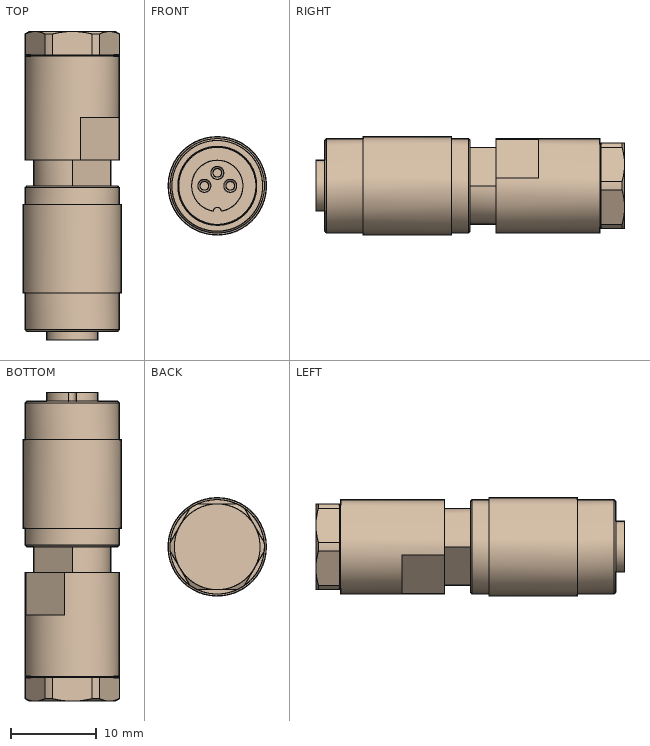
import cadquery as cq

SHELL_FRONT = 1.0
SLEEVE_FRONT = 5.5
SLEEVE_REAR = 15.85
SHELL_REAR = 18.0
BODY_FRONT = 21.0
BODY_FLAT_REAR = 25.95
BODY_REAR = 33.12
HEX_FRONT = 33.25
TOTAL_LENGTH = 36.0

SLEEVE_RADIUS = 11.5 / 2
BODY_RADIUS = 5.5
NECK_RADIUS = 4.5
INSERT_RADIUS = 3.0
BORE_RADIUS = 4.5
GROOVE_RADIUS = 4.82

BODY_FLAT_DISTANCE = 4.5
NECK_FLAT_DISTANCE = NECK_RADIUS / 2**0.5
FLAT_ANGLE = 45.0
HEX_ACROSS_FLATS = 10.0
HEX_TURN = 30.0

SHELL_CHAMFER = 0.2
BORE_CHAMFER = 0.1
HEX_CHAMFER_LENGTH = 0.3
HEX_CHAMFER_WIDTH = 0.5

BORE_DEPTH = 7.2
CONTACT_OFFSET = 1.5
CONTACT_RADIUS = 0.5
CONTACT_MOUTH_RADIUS = 0.75
CONTACT_DEPTH = 4.32
KEYWAY_RADIUS = 0.45


def section_plane(y):
    """Plane across the axis: local x is -X, local y is Z, normal is +Y."""
    return cq.Workplane(cq.Plane(origin=(0, y, 0), xDir=(-1, 0, 0), normal=(0, 1, 0)))


def cylinder(radius, front, rear):
    return section_plane(front).circle(radius).extrude(rear - front)


def flatted_cylinder(radius, flat_distance, front, rear):
    """Cylinder with two parallel flats facing +X+Z and -X-Z."""
    length = rear - front
    slab = (
        section_plane(front)
        .transformed(rotate=(0, 0, FLAT_ANGLE))
        .rect(2 * radius, 2 * flat_distance)
        .extrude(length)
    )
    return cylinder(radius, front, rear).intersect(slab)


def make_shell():
    shell = cylinder(BODY_RADIUS, SHELL_FRONT, SHELL_REAR).edges().chamfer(SHELL_CHAMFER)
    shell = shell.union(cylinder(SLEEVE_RADIUS, SLEEVE_FRONT, SLEEVE_REAR))
    shell = shell.cut(cylinder(BORE_RADIUS, SHELL_FRONT, SHELL_FRONT + BORE_DEPTH))
    bore_mouth = (
        section_plane(SHELL_FRONT)
        .circle(BORE_RADIUS + BORE_CHAMFER)
        .extrude(BORE_CHAMFER, taper=45)
    )
    return shell.cut(bore_mouth)


def make_insert():
    insert = cylinder(INSERT_RADIUS, 0, SHELL_FRONT + BORE_DEPTH)
    keyway = (
        section_plane(0)
        .center(0, -INSERT_RADIUS)
        .circle(KEYWAY_RADIUS)
        .extrude(SHELL_FRONT + BORE_DEPTH)
    )
    insert = insert.cut(keyway)
    contacts = [(-CONTACT_OFFSET, 0), (0, CONTACT_OFFSET), (CONTACT_OFFSET, 0)]
    for x, z in contacts:
        hole = section_plane(0).center(x, z).circle(CONTACT_RADIUS).extrude(CONTACT_DEPTH)
        mouth_depth = CONTACT_MOUTH_RADIUS - CONTACT_RADIUS
        mouth = (
            section_plane(0)
            .center(x, z)
            .circle(CONTACT_MOUTH_RADIUS)
            .extrude(mouth_depth, taper=45)
        )
        insert = insert.cut(hole).cut(mouth)
    return insert


def make_hex_cap():
    """Hexagon with flats facing +Z and -Z, its corners turned to the body radius."""
    blank = (
        cylinder(BODY_RADIUS, HEX_FRONT, TOTAL_LENGTH)
        .faces(">Y")
        .chamfer(HEX_CHAMFER_LENGTH, HEX_CHAMFER_WIDTH)
    )
    hexagon = (
        section_plane(HEX_FRONT)
        .transformed(rotate=(0, 0, HEX_TURN))
        .polygon(6, HEX_ACROSS_FLATS, circumscribed=True)
        .extrude(TOTAL_LENGTH - HEX_FRONT)
    )
    return blank.intersect(hexagon)


neck = flatted_cylinder(NECK_RADIUS, NECK_FLAT_DISTANCE, SHELL_REAR, BODY_FRONT)
flatted_body = flatted_cylinder(BODY_RADIUS, BODY_FLAT_DISTANCE, BODY_FRONT, BODY_FLAT_REAR)
round_body = cylinder(BODY_RADIUS, BODY_FLAT_REAR, BODY_REAR)
groove = cylinder(GROOVE_RADIUS, BODY_REAR, HEX_FRONT)

result = make_shell().union(make_insert()).union(neck).union(flatted_body)
result = result.union(round_body).union(groove).union(make_hex_cap())